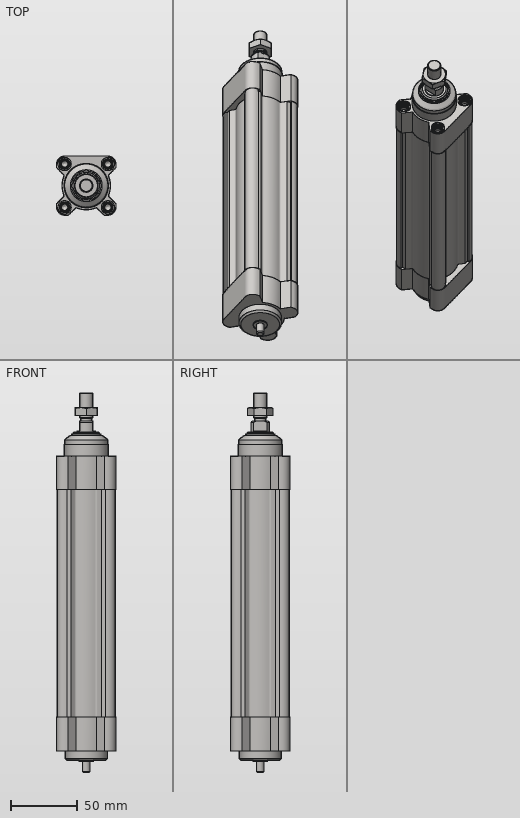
import cadquery as cq
import math

total_length = 286.0
boss_bottom = 9.1
rear_cap_bottom = 16.0
barrel_bottom = 41.7
barrel_top = 213.0
front_cap_top = 238.2
bearing_top = 256.5

cap_width = 45.0
cap_corner_radius = 6.5
body_radius = 18.3
notch_offset = 9.0

barrel_corner_radius = 5.7
barrel_corner_center = 16.3
barrel_step_half_width = 14.5
barrel_strip_level = 20.3
barrel_root_fillet = 1.7

screw_pitch = 32.5
socket_steps = [(10.0, 1.1), (8.0, 2.3), (7.1, 3.5), (6.0, 4.5)]
screw_bore_diameter = 5.0
screw_bore_depth = 7.5
drill_tip_depth = 1.5

collar_diameter = 33.5
collar_step_diameter = 32.5
collar_step_level = 247.0
collar_chamfer_level = 250.5
cone_base_diameter = 31.2
cone_base_level = 251.3
cone_top_diameter = 24.0
cone_top_level = 254.0
ledge_diameter = 22.0
ledge_level = 254.7
lip_diameter = 20.0
lip_level = 255.5
lip_top_diameter = 17.7

boss_diameter = 32.0
boss_chamfer = 1.5
flange_diameter = 10.5
flange_thickness = 1.0
shaft_diameter = 6.0
shaft_chamfer = 1.0

rod_diameter = 14.0
rod_shoulder_level = 264.7
rod_shoulder_chamfer = 1.1
flat_width = 10.0
flat_bottom = 257.3
neck_diameter = 8.5
thread_diameter = 10.0
thread_bottom = 266.7
thread_chamfer = 0.5
nut_bottom = 268.7
nut_thickness = 6.0
nut_across_flats = 17.0
nut_chamfer_angle = 30.0


def cylinder(diameter, bottom, top):
    """Upright cylinder on the Z axis."""
    return cq.Workplane("XY").workplane(offset=bottom).circle(diameter / 2).extrude(top - bottom)


def extruded(profile, bottom, top):
    """Prism of a closed XY profile between two levels."""
    return profile.extrude(top - bottom).translate((0, 0, bottom))


def notch_root_half_width():
    """Half width at which a 45 degree notch wall meets the round centre."""
    return (math.sqrt(2 * body_radius**2 - notch_offset**2) - notch_offset) / 2


def make_notch(outer_points, bottom, top):
    """Side notch on -Y: the outer points of its +X half, 45 degree walls and a round floor."""
    root = notch_root_half_width()
    half = outer_points + [(root, -(root + notch_offset))]
    mirrored = [(-x, y) for x, y in reversed(half)]
    profile = (
        cq.Workplane("XY")
        .polyline(half)
        .threePointArc((0, -body_radius), mirrored[0])
        .polyline(mirrored[1:], includeCurrent=True)
        .close()
    )
    return extruded(profile, bottom, top)


def around_axis(body, angles):
    """Copies of a body turned about the Z axis."""
    return [body.rotate((0, 0, 0), (0, 0, 1), angle) for angle in angles]


def make_cap_block(bottom, top):
    """Square block with round corners and notches on -X, -Y and +X; the +Y side stays flat."""
    block = (
        cq.Workplane("XY")
        .rect(cap_width, cap_width)
        .extrude(top - bottom)
        .edges("|Z")
        .fillet(cap_corner_radius)
        .translate((0, 0, bottom))
    )
    notch = make_notch([(cap_width - notch_offset, -cap_width)], bottom, top)
    for cut in around_axis(notch, (-90, 0, 90)):
        block = block.cut(cut)
    return block


def make_screw_socket():
    """Stepped socket with a drilled bore below it, cut down from the top of the front cap."""
    socket = cylinder(screw_bore_diameter, front_cap_top - screw_bore_depth, front_cap_top)
    for diameter, depth in socket_steps:
        socket = socket.union(cylinder(diameter, front_cap_top - depth, front_cap_top))
    tip = cq.Solid.makeCone(
        screw_bore_diameter / 2,
        0,
        drill_tip_depth,
        pnt=cq.Vector(0, 0, front_cap_top - screw_bore_depth),
        dir=cq.Vector(0, 0, -1),
    )
    return socket.union(cq.Workplane(tip))


def make_bearing_collar():
    """Turned collar with a conical nose around the piston rod."""
    profile = [
        (0, front_cap_top),
        (collar_diameter / 2, front_cap_top),
        (collar_diameter / 2, collar_step_level),
        (collar_step_diameter / 2, collar_step_level),
        (collar_step_diameter / 2, collar_chamfer_level),
        (cone_base_diameter / 2, cone_base_level),
        (cone_top_diameter / 2, cone_top_level),
        (ledge_diameter / 2, cone_top_level),
        (ledge_diameter / 2, ledge_level),
        (lip_diameter / 2, ledge_level),
        (lip_diameter / 2, lip_level),
        (lip_top_diameter / 2, bearing_top),
        (0, bearing_top),
    ]
    return cq.Workplane("XZ").polyline(profile).close().revolve(360, (0, 0, 0), (0, 1, 0))


def make_front_cap():
    cap = make_cap_block(barrel_top, front_cap_top).union(make_bearing_collar())
    socket = make_screw_socket()
    half_pitch = screw_pitch / 2
    for x in (-half_pitch, half_pitch):
        for y in (-half_pitch, half_pitch):
            cap = cap.cut(socket.translate((x, y, 0)))
    return cap.cut(cylinder(rod_diameter, barrel_top, bearing_top))


def make_barrel():
    """Extruded profile with four round corners and a stepped notch on every side."""
    outer_half_width = barrel_corner_center + barrel_corner_radius
    barrel = (
        cq.Workplane("XY")
        .rect(2 * outer_half_width, 2 * outer_half_width)
        .extrude(barrel_top - barrel_bottom)
        .edges("|Z")
        .fillet(barrel_corner_radius)
        .translate((0, 0, barrel_bottom))
    )
    outer = [
        (barrel_step_half_width, -cap_width),
        (barrel_step_half_width, -barrel_strip_level),
        (barrel_strip_level - notch_offset, -barrel_strip_level),
    ]
    notch = make_notch(outer, barrel_bottom, barrel_top)
    root = notch_root_half_width()
    for x in (-root, root):
        edge = cq.selectors.NearestToPointSelector(
            (x, -(root + notch_offset), (barrel_bottom + barrel_top) / 2)
        )
        notch = notch.edges("|Z").edges(edge).fillet(barrel_root_fillet)
    for cut in around_axis(notch, (0, 90, 180, 270)):
        barrel = barrel.cut(cut)
    return barrel


def make_rear_cap():
    """Rear cap with its centring boss, flange and drive shaft."""
    boss = cylinder(boss_diameter, boss_bottom, rear_cap_bottom).faces("<Z").chamfer(boss_chamfer)
    flange = cylinder(flange_diameter, boss_bottom - flange_thickness, boss_bottom)
    shaft = cylinder(shaft_diameter, 0, boss_bottom).faces("<Z").chamfer(shaft_chamfer)
    return make_cap_block(rear_cap_bottom, barrel_bottom).union(boss).union(flange).union(shaft)


def make_piston_rod():
    """Rod with two wrench flats facing -X and +X, an undercut neck and a threaded end."""
    rod = cylinder(rod_diameter, barrel_top, rod_shoulder_level)
    rod = rod.faces(">Z").chamfer(rod_shoulder_chamfer)
    flat_height = rod_shoulder_level - flat_bottom
    for side in (-1, 1):
        cutter = cq.Workplane("XY").box(rod_diameter, 2 * rod_diameter, flat_height)
        cutter_x = side * (flat_width + rod_diameter) / 2
        rod = rod.cut(cutter.translate((cutter_x, 0, flat_bottom + flat_height / 2)))
    neck = cylinder(neck_diameter, rod_shoulder_level, thread_bottom)
    thread = cylinder(thread_diameter, thread_bottom, total_length)
    thread = thread.faces("<Z or >Z").chamfer(thread_chamfer)
    return rod.union(neck).union(thread)


def make_nut():
    """Hexagon nut with corners on -Y and +Y, chamfered on top."""
    across_corners = nut_across_flats / math.cos(math.pi / 6)
    nut = (
        cq.Workplane("XY")
        .polygon(6, across_corners)
        .extrude(nut_thickness)
        .rotate((0, 0, 0), (0, 0, 1), 90)
        .translate((0, 0, nut_bottom))
    )
    nut_top = nut_bottom + nut_thickness
    cone_drop = nut_across_flats / 2 * math.tan(math.radians(nut_chamfer_angle))
    envelope = (
        cq.Workplane("XZ")
        .polyline(
            [
                (0, nut_bottom),
                (nut_across_flats, nut_bottom),
                (nut_across_flats, nut_top - cone_drop),
                (nut_across_flats / 2, nut_top),
                (0, nut_top),
            ]
        )
        .close()
        .revolve(360, (0, 0, 0), (0, 1, 0))
    )
    return nut.intersect(envelope).cut(cylinder(thread_diameter, nut_bottom, nut_top))


front_cap = make_front_cap()
barrel = make_barrel()
rear_cap = make_rear_cap()
piston_rod = make_piston_rod()
nut = make_nut()

result = cq.Compound.makeCompound(
    [front_cap.val(), barrel.val(), rear_cap.val(), piston_rod.val(), nut.val()]
)